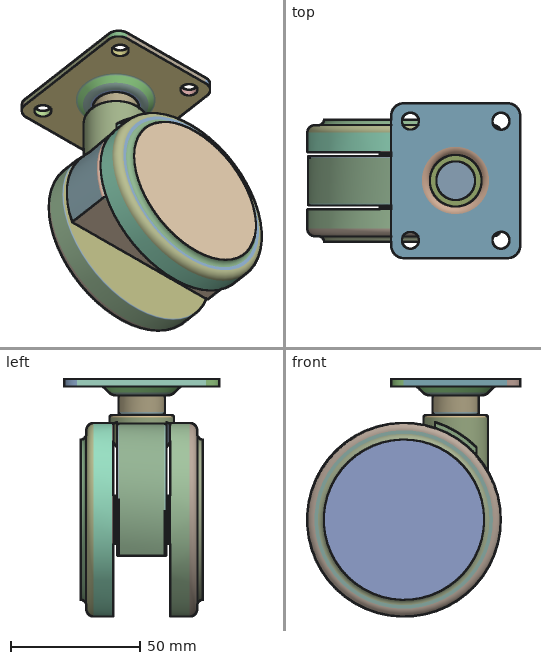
import cadquery as cq
import math


swivel_x = 20.0
plate_top_z = 54.5

plate_length = 50.0
plate_width = 60.0
plate_thickness = 3.0
plate_corner_radius = 5.0
hole_diameter = 6.5
hole_spacing_x = 35.0
hole_spacing_y = 46.0

dish_floor_radius = 10.0
dish_lip_radius = 3.0
dish_underside_radius = 15.0
dish_bottom_z = 48.0
dish_bottom_fillet = 4.0
dish_root_fillet = 1.0

stem_radius = 9.0
stem_top_fillet = 0.5
stem_bottom_fillet = 1.0
rivet_radius = 7.5
rivet_height = 2.0

housing_radius = 37.2
housing_width = 19.2
housing_bottom_z = -14.0
housing_edge_fillet = 0.75
boss_radius = 12.5
boss_top_z = 40.5
boss_top_fillet = 1.0
wheel_clearance_radius = 39.6

wheel_radius = 37.5
wheel_inner_y = 11.0
wheel_outer_y = 21.5
wheel_inner_fillet = 0.4
wheel_outer_fillet = 3.0
cap_radius = 31.0
cap_face_y = 23.65
hub_radius = 9.4
hub_chamfer = 0.7

plate_bottom_z = plate_top_z - plate_thickness
dish_floor_z = plate_top_z - dish_lip_radius
dish_depth = plate_bottom_z - dish_bottom_z
dish_bottom_radius = dish_underside_radius - dish_depth
housing_side_y = housing_width / 2
cap_root_radius = cap_face_y - wheel_outer_y


def arc_middle(center, radius, degrees):
    """Point of a circle at the given angle, used to define an arc."""
    angle = math.radians(degrees)
    return (center[0] + radius * math.cos(angle), center[1] + radius * math.sin(angle))


def disc_along_y(radius, width):
    """Cylinder on the wheel axis, centred on Y = 0."""
    return cq.Workplane("XZ").circle(radius).extrude(width / 2, both=True)


def swivel_cylinder(radius, bottom_z, top_z):
    """Cylinder on the swivel axis."""
    base = cq.Workplane("XY", origin=(swivel_x, 0, bottom_z))
    return base.circle(radius).extrude(top_z - bottom_z)


def make_plate():
    """Flat plate with four screw holes and a pressed dish, bored for the rivet end of the stem."""
    base = cq.Workplane("XY", origin=(swivel_x, 0, plate_bottom_z))
    plate = base.rect(plate_length, plate_width).extrude(plate_thickness)
    plate = plate.edges("|Z").fillet(plate_corner_radius)

    dish = (
        cq.Workplane("XY", origin=(swivel_x, 0, dish_bottom_z))
        .circle(dish_bottom_radius)
        .workplane(offset=dish_depth)
        .circle(dish_underside_radius)
        .loft()
        .faces("<Z")
        .edges()
        .fillet(dish_bottom_fillet)
    )

    mouth_radius = dish_floor_radius + dish_lip_radius
    lip_center = (mouth_radius, dish_floor_z)
    recess = (
        cq.Workplane("XZ", origin=(swivel_x, 0, 0))
        .moveTo(0, dish_floor_z)
        .lineTo(dish_floor_radius, dish_floor_z)
        .threePointArc(arc_middle(lip_center, dish_lip_radius, 135), (mouth_radius, plate_top_z))
        .lineTo(0, plate_top_z)
        .close()
        .revolve(360, (0, 0, 0), (0, 1, 0))
    )

    holes = (
        cq.Workplane("XY", origin=(swivel_x, 0, plate_bottom_z))
        .rarray(hole_spacing_x, hole_spacing_y, 2, 2)
        .circle(hole_diameter / 2)
        .extrude(plate_thickness)
    )
    rivet_bore = swivel_cylinder(rivet_radius, dish_bottom_z, dish_floor_z)
    plate = plate.union(dish)
    root_edge = cq.selectors.RadiusNthSelector(-1)
    plate = plate.faces("<Z[-2]").edges("%CIRCLE").edges(root_edge).fillet(dish_root_fillet)
    return plate.cut(recess).cut(holes).cut(rivet_bore)


def make_stem():
    """Collar between housing and plate, with a rivet end that passes up through the plate."""
    collar = swivel_cylinder(stem_radius, boss_top_z, dish_bottom_z)
    collar = collar.faces(">Z").edges().fillet(stem_top_fillet)
    collar = collar.faces("<Z").edges().fillet(stem_bottom_fillet)
    rivet = swivel_cylinder(rivet_radius, dish_bottom_z, dish_floor_z + rivet_height)
    return collar.union(rivet)


def make_housing():
    """Disc with a flat bottom between the wheels, and a swivel boss relieved around the wheels."""
    below_size = 2 * housing_radius
    below = cq.Workplane("XY", origin=(0, 0, housing_bottom_z))
    below = below.rect(below_size, below_size).extrude(-below_size)
    disc = disc_along_y(housing_radius, housing_width).cut(below)
    disc = disc.faces("<Y or >Y").edges().fillet(housing_edge_fillet)

    boss = swivel_cylinder(boss_radius, 0, boss_top_z)
    boss = boss.faces(">Z").edges().fillet(boss_top_fillet)
    clearance = disc_along_y(wheel_clearance_radius, 2 * boss_radius)
    clearance = clearance.cut(disc_along_y(wheel_clearance_radius, housing_width))
    return disc.union(boss.cut(clearance))


def make_wheel(side):
    """Revolved wheel on the +Y (side = 1) or -Y (side = -1) side, its hub touching the housing."""
    inner_center = (wheel_radius - wheel_inner_fillet, wheel_inner_y + wheel_inner_fillet)
    outer_center = (wheel_radius - wheel_outer_fillet, wheel_outer_y - wheel_outer_fillet)
    root_center = (cap_radius + cap_root_radius, cap_face_y)
    profile = (
        cq.Workplane("XY")
        .moveTo(0, housing_side_y)
        .lineTo(hub_radius - hub_chamfer, housing_side_y)
        .lineTo(hub_radius, housing_side_y + hub_chamfer)
        .lineTo(hub_radius, wheel_inner_y)
        .lineTo(inner_center[0], wheel_inner_y)
        .threePointArc(
            arc_middle(inner_center, wheel_inner_fillet, -45), (wheel_radius, inner_center[1])
        )
        .lineTo(wheel_radius, outer_center[1])
        .threePointArc(
            arc_middle(outer_center, wheel_outer_fillet, 45), (outer_center[0], wheel_outer_y)
        )
        .lineTo(root_center[0], wheel_outer_y)
        .threePointArc(arc_middle(root_center, cap_root_radius, 225), (cap_radius, cap_face_y))
        .lineTo(0, cap_face_y)
        .close()
    )
    wheel = profile.revolve(360, (0, 0, 0), (0, 1, 0))
    return wheel if side > 0 else wheel.mirror("XZ")


plate = make_plate()
stem = make_stem()
housing = make_housing()
wheels = [make_wheel(side) for side in (-1, 1)]

result = cq.Compound.makeCompound(
    [plate.val(), stem.val(), housing.val(), *[wheel.val() for wheel in wheels]]
)